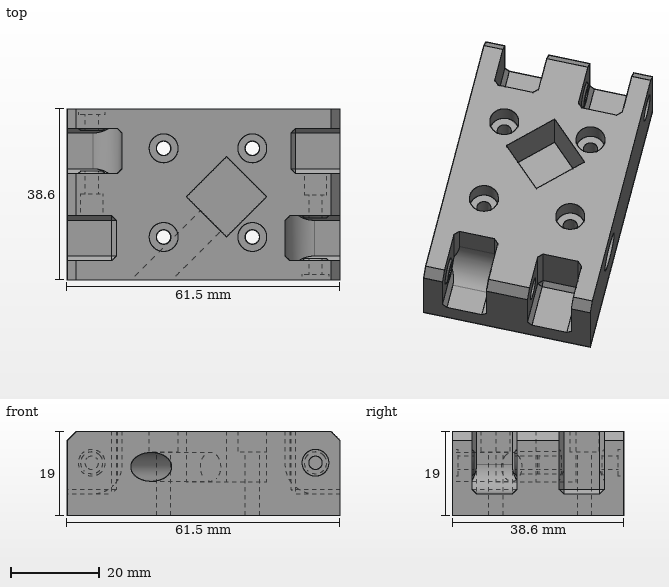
import cadquery as cq
import math

LENGTH = 61.5
WIDTH = 38.6
HEIGHT = 19.0
END_CHAMFER = 2.0

POCKET_WIDTH = 10.15
POCKET_OFFSET = 9.85
POCKET_FLOOR = 4.9
POCKET_CHAMFER = 1.05
PLAIN_POCKET_DEPTH = 11.1
ROUND_POCKET_DEPTH = 12.35
POCKET_ROUND = 6.6

PIN_INSET = 5.55
PIN_HEIGHT = 11.95
PIN_HOLE_DIAMETER = 3.0
PIN_HEAD_DIAMETER = 6.0
PIN_HEAD_DEPTH = 1.3
PIN_ACCESS_DIAMETER = 5.0
PIN_ACCESS_DEPTH = 4.9
BOSS_BASE_DIAMETER = 6.0
BOSS_TOP_DIAMETER = 5.0
BOSS_HEIGHT = 0.5

SCREW_SPACING = 20.0
SCREW_CENTER = (1.0, 0.4)
SCREW_DIAMETER = 3.2
SCREW_HEAD_DIAMETER = 6.5
SCREW_HEAD_DEPTH = 4.7

SQUARE_CENTER = (5.15, -0.5)
SQUARE_SIDE = 12.8
SQUARE_DEPTH = 11.45
BORE_DIAMETER = 6.5
BORE_ENTRY_X = -11.8
BORE_HEIGHT = 11.0
BORE_ANGLE = 45.0

FRONT = -WIDTH / 2
POCKET_INNER = POCKET_OFFSET - POCKET_WIDTH / 2
POCKET_OUTER = POCKET_OFFSET + POCKET_WIDTH / 2
PIN_X = LENGTH / 2 - PIN_INSET


def y_cylinder(diameter, y_start, y_end):
    """Cylinder along +Y on the pin axis at the +X end."""
    start = cq.Vector(PIN_X, y_start, PIN_HEIGHT)
    return cq.Workplane(cq.Solid.makeCylinder(diameter / 2, y_end - y_start, start, cq.Vector(0, 1, 0)))


def pin_boss(y_wall, direction):
    """Conical boss standing on a pocket wall, pointing along Y in the given direction."""
    base = cq.Vector(PIN_X, y_wall, PIN_HEIGHT)
    axis = cq.Vector(0, direction, 0)
    return cq.Workplane(
        cq.Solid.makeCone(BOSS_BASE_DIAMETER / 2, BOSS_TOP_DIAMETER / 2, BOSS_HEIGHT, base, axis)
    )


def end_pocket(depth, y_center):
    """Cutter for a pocket at the +X end, chamfered along its floor and upright corners."""
    overrun = 2 * POCKET_CHAMFER
    return (
        cq.Workplane("XY")
        .box(depth + overrun, POCKET_WIDTH, HEIGHT - POCKET_FLOOR + overrun, centered=(False, True, False))
        .edges("<Z or (|Z and <X)")
        .chamfer(POCKET_CHAMFER)
        .translate((LENGTH / 2 - depth, y_center, POCKET_FLOOR))
    )


def round_back_profile():
    """Long prism whose lower back edge is rounded to follow a wheel on the pin."""
    return (
        cq.Workplane("XY")
        .box(LENGTH, WIDTH, 2 * HEIGHT, centered=(False, True, False))
        .edges("<X and <Z")
        .fillet(POCKET_ROUND)
        .translate((LENGTH / 2 - ROUND_POCKET_DEPTH, 0, POCKET_FLOOR))
    )


def cut_end(part):
    """Cut the two pockets and the pin holes at the +X end."""
    round_pocket = end_pocket(ROUND_POCKET_DEPTH, -POCKET_OFFSET).intersect(round_back_profile())
    round_pocket = round_pocket.cut(pin_boss(-POCKET_OUTER, 1))
    round_pocket = round_pocket.cut(pin_boss(-POCKET_INNER, -1))
    plain_pocket = end_pocket(PLAIN_POCKET_DEPTH, POCKET_OFFSET)

    pin_hole = y_cylinder(PIN_HOLE_DIAMETER, FRONT, POCKET_INNER)
    pin_head = y_cylinder(PIN_HEAD_DIAMETER, FRONT, FRONT + PIN_HEAD_DEPTH)
    pin_access = y_cylinder(PIN_ACCESS_DIAMETER, POCKET_INNER - PIN_ACCESS_DEPTH, POCKET_INNER)

    for cutter in (round_pocket, plain_pocket, pin_hole, pin_head, pin_access):
        part = part.cut(cutter)
    return part


def slanted_bore():
    """Horizontal bore from the front face to the nearest face of the square pocket."""
    angle = math.radians(BORE_ANGLE)
    direction = cq.Vector(math.cos(angle), math.sin(angle), 0)
    entry = cq.Vector(BORE_ENTRY_X, FRONT, BORE_HEIGHT)
    pocket_center = cq.Vector(SQUARE_CENTER[0], SQUARE_CENTER[1], BORE_HEIGHT)
    length = (pocket_center - entry).dot(direction)
    start = entry - direction * BORE_DIAMETER
    return cq.Workplane(cq.Solid.makeCylinder(BORE_DIAMETER / 2, length + BORE_DIAMETER, start, direction))


body = (
    cq.Workplane("XY")
    .box(LENGTH, WIDTH, HEIGHT, centered=(True, True, False))
    .edges(">Z and |Y")
    .chamfer(END_CHAMFER)
)

for _ in range(2):
    body = cut_end(body).rotate((0, 0, 0), (0, 0, 1), 180)

body = (
    body.faces(">Z")
    .workplane(origin=(*SCREW_CENTER, HEIGHT))
    .rarray(SCREW_SPACING, SCREW_SPACING, 2, 2)
    .cboreHole(SCREW_DIAMETER, SCREW_HEAD_DIAMETER, SCREW_HEAD_DEPTH)
)

square_pocket = (
    cq.Workplane("XY")
    .box(SQUARE_SIDE, SQUARE_SIDE, SQUARE_DEPTH, centered=(True, True, False))
    .rotate((0, 0, 0), (0, 0, 1), BORE_ANGLE)
    .translate((*SQUARE_CENTER, HEIGHT - SQUARE_DEPTH))
)

result = body.cut(square_pocket).cut(slanted_bore())